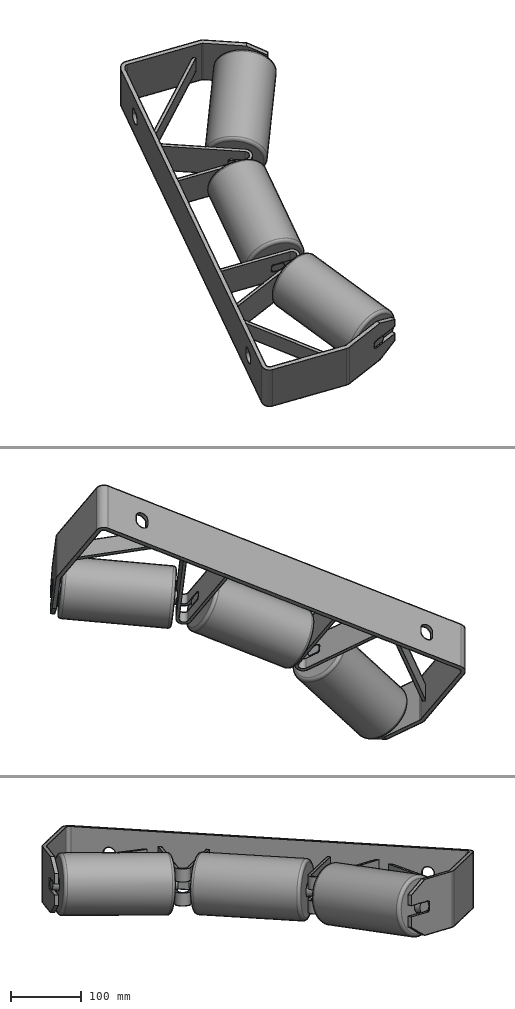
import cadquery as cq
import math

FRAME_LENGTH = 600.0
FRAME_HEIGHT = 81.5
FRAME_THICKNESS = 6.0
OUTER_BEND_RADIUS = 12.0
WING_BEND_Y = 126.0
WING_TIP_Y = 211.0
WING_CHAMFER_LENGTH = 30.0
WING_CHAMFER_Z = 17.5
LEAN_ANGLE = 25.0

MOUNT_SPACING = 465.0
MOUNT_WIDTH = 18.5
MOUNT_HEIGHT = 27.5

BRACKET_THICKNESS = 4.5
BRACKET_HEIGHT = 54.0
BRACKET_BEND_RADIUS = 11.5
BRACKET_BEND_Y = 116.0

STRUT_THICKNESS = 5.0
STRUT_HEIGHT = 30.0
STRUT_BITE = 0.5
STRUT_FOOT_X = 179.5
STRUT_WALL_Y = 110.5

ROLLER_DIAMETER = 89.0
ROLLER_LENGTH = 161.0
ROLLER_FILLET = 5.0
AXLE_DIAMETER = 20.0
AXLE_FLAT_WIDTH = 14.0
SHOULDER_GAP = 2.0
FACE_DISTANCE = 86.0
MIDDLE_ROLLER_Y = 97.0
MIDDLE_ROLLER_Z = -7.0
SIDE_ROLLER_X = 190.0
SIDE_ROLLER_Y = 144.0
SIDE_ROLLER_TILT = 2.4

AXLE_SLOT_WIDTH = 16.0
AXLE_SLOT_FILLET = 4.0
BRACKET_SLOT_LENGTH = 48.0
WING_SLOT_LENGTH = 60.0

lean = math.radians(LEAN_ANGLE)
half_length = FRAME_LENGTH / 2
half_height = FRAME_HEIGHT / 2
wall_inner_x = half_length - FRAME_THICKNESS
wing_tip_x = half_length - (WING_TIP_Y - WING_BEND_Y) * math.tan(lean)
bracket_bend_x = FACE_DISTANCE + BRACKET_BEND_RADIUS
axle_radius = AXLE_DIAMETER / 2
axle_half_length = FACE_DISTANCE + BRACKET_THICKNESS
side_roller_z = MIDDLE_ROLLER_Z + FACE_DISTANCE * math.sin(math.radians(SIDE_ROLLER_TILT))


def mirrored(shape):
    return shape.mirror("YZ")


def upright_plate(profile, height):
    """Extrude a closed XY profile to the given height, centred on Z = 0."""
    return profile.extrude(height / 2, both=True)


def in_side_roller_place(shape):
    """Turn a shape by the lean angle and move it from the origin to the right side roller."""
    turned = shape.rotate((0, 0, 0), (0, 0, 1), LEAN_ANGLE)
    return turned.translate((SIDE_ROLLER_X, SIDE_ROLLER_Y, 0))



def fillet_upright_edges(body, points, radius):
    for x, y in points:
        edge = cq.selectors.NearestToPointSelector((x, y, 0))
        body = body.edges(edge).fillet(radius)
    return body


def make_half_strip():
    """Right half of the bent strip, with its wing tip corners cut off."""
    wall_inner_bend_y = WING_BEND_Y - FRAME_THICKNESS * math.tan(lean / 2)
    tip_inner_x = wing_tip_x - FRAME_THICKNESS * math.cos(lean)
    tip_inner_y = WING_TIP_Y - FRAME_THICKNESS * math.sin(lean)
    outer_bends = [(half_length, 0), (half_length, WING_BEND_Y)]
    inner_bends = [(wall_inner_x, wall_inner_bend_y), (wall_inner_x, FRAME_THICKNESS)]
    outline = [
        (0, 0),
        *outer_bends,
        (wing_tip_x, WING_TIP_Y),
        (tip_inner_x, tip_inner_y),
        *inner_bends,
        (0, FRAME_THICKNESS),
    ]
    strip = upright_plate(cq.Workplane("XY").polyline(outline).close(), FRAME_HEIGHT)
    strip = fillet_upright_edges(strip, outer_bends, OUTER_BEND_RADIUS)
    strip = fillet_upright_edges(strip, inner_bends, OUTER_BEND_RADIUS - FRAME_THICKNESS)
    for side in (1, -1):
        strip = strip.cut(wing_corner(side))
    return strip


def wing_corner(side):
    """Triangular cutter for the upper (side 1) or lower (side -1) corner of the wing tip."""
    wing_face = cq.Plane(
        origin=(wing_tip_x, WING_TIP_Y, 0),
        xDir=(math.sin(lean), -math.cos(lean), 0),
        normal=(math.cos(lean), math.sin(lean), 0),
    )
    triangle = [
        (0, side * (half_height - WING_CHAMFER_Z)),
        (WING_CHAMFER_LENGTH, side * half_height),
        (0, side * half_height),
    ]
    return cq.Workplane(wing_face).polyline(triangle).close().extrude(2 * FRAME_THICKNESS, both=True)


def bracket_bend_point(radius, degrees):
    angle = math.radians(degrees)
    return (
        bracket_bend_x + radius * math.cos(angle),
        BRACKET_BEND_Y + radius * math.sin(angle),
    )


def leaning_leg_foot(radius):
    """Where the leg face that leaves the bend at this radius meets the base."""
    x, y = bracket_bend_point(radius, LEAN_ANGLE)
    return (x + (y - FRAME_THICKNESS) * math.tan(lean), FRAME_THICKNESS)


def make_bracket():
    outer = BRACKET_BEND_RADIUS
    inner = BRACKET_BEND_RADIUS - BRACKET_THICKNESS
    upright_end = 180
    bend_middle = (upright_end + LEAN_ANGLE) / 2
    profile = (
        cq.Workplane("XY")
        .moveTo(FACE_DISTANCE, FRAME_THICKNESS)
        .lineTo(*bracket_bend_point(outer, upright_end))
        .threePointArc(bracket_bend_point(outer, bend_middle), bracket_bend_point(outer, LEAN_ANGLE))
        .lineTo(*leaning_leg_foot(outer))
        .lineTo(*leaning_leg_foot(inner))
        .lineTo(*bracket_bend_point(inner, LEAN_ANGLE))
        .threePointArc(bracket_bend_point(inner, bend_middle), bracket_bend_point(inner, upright_end))
        .lineTo(FACE_DISTANCE + BRACKET_THICKNESS, FRAME_THICKNESS)
        .close()
    )
    return upright_plate(profile, BRACKET_HEIGHT).translate((0, 0, MIDDLE_ROLLER_Z))


def make_strut():
    """Bar whose outward face runs from the base to the side wall."""
    foot_x, foot_y = STRUT_FOOT_X, FRAME_THICKNESS - STRUT_BITE
    wall_x, wall_y = wall_inner_x + STRUT_BITE, STRUT_WALL_Y
    slope = math.atan2(wall_y - foot_y, wall_x - foot_x)
    shift_x = -STRUT_THICKNESS * math.sin(slope)
    shift_y = STRUT_THICKNESS * math.cos(slope)
    outline = [
        (foot_x, foot_y),
        (wall_x, wall_y),
        (wall_x + shift_x, wall_y + shift_y),
        (foot_x + shift_x, foot_y + shift_y),
    ]
    return upright_plate(cq.Workplane("XY").polyline(outline).close(), STRUT_HEIGHT)


def axle_slot(length):
    """Slot cutter through a plate facing X, with its floor under an axle on X and open towards +Y."""
    cutter = cq.Workplane("XY").box(
        2 * BRACKET_BEND_RADIUS, length, AXLE_SLOT_WIDTH, centered=(True, False, True)
    )
    return cutter.edges("|X and <Y").fillet(AXLE_SLOT_FILLET).translate((0, -axle_radius, 0))


def make_frame():
    wing_slot = in_side_roller_place(axle_slot(WING_SLOT_LENGTH).translate((FACE_DISTANCE, 0, 0)))
    bracket_slot = axle_slot(BRACKET_SLOT_LENGTH)
    upright_slot = bracket_slot.translate((FACE_DISTANCE, MIDDLE_ROLLER_Y, MIDDLE_ROLLER_Z))
    leaning_slot = in_side_roller_place(bracket_slot.translate((-FACE_DISTANCE, 0, MIDDLE_ROLLER_Z)))
    strip = make_half_strip().cut(wing_slot)
    bracket = make_bracket().cut(upright_slot).cut(leaning_slot)
    half = strip.union(bracket).union(make_strut())
    mounts = (
        cq.Workplane("XZ")
        .pushPoints([(-MOUNT_SPACING / 2, 0), (MOUNT_SPACING / 2, 0)])
        .slot2D(MOUNT_HEIGHT, MOUNT_WIDTH, 90)
        .extrude(-FRAME_THICKNESS)
    )
    return half.union(mirrored(half)).cut(mounts)



def rod(diameter, length):
    """Cylinder along X, centred on the origin."""
    start = cq.Plane(origin=(-length / 2, 0, 0), xDir=(0, 0, 1), normal=(1, 0, 0))
    return cq.Workplane(start).circle(diameter / 2).extrude(length)


def make_roller():
    """Roller along X with an axle whose ends are flattened above and below."""
    barrel = rod(ROLLER_DIAMETER, ROLLER_LENGTH).edges("%CIRCLE").fillet(ROLLER_FILLET)
    shoulders = rod(AXLE_DIAMETER, 2 * (FACE_DISTANCE - SHOULDER_GAP))
    flats = cq.Workplane("XY").box(2 * axle_half_length, AXLE_DIAMETER, AXLE_FLAT_WIDTH)
    axle_ends = rod(AXLE_DIAMETER, 2 * axle_half_length).intersect(flats)
    return barrel.union(shoulders).union(axle_ends)


def place_side_roller(roller):
    tilted = roller.rotate((0, 0, 0), (0, 1, 0), -SIDE_ROLLER_TILT)
    return in_side_roller_place(tilted.translate((0, 0, side_roller_z)))


frame = make_frame()
middle_roller = make_roller().translate((0, MIDDLE_ROLLER_Y, MIDDLE_ROLLER_Z))
right_roller = place_side_roller(make_roller())
rollers = [mirrored(right_roller), middle_roller, right_roller]

result = cq.Compound.makeCompound([frame.solids().val(), *[roller.solids().val() for roller in rollers]])